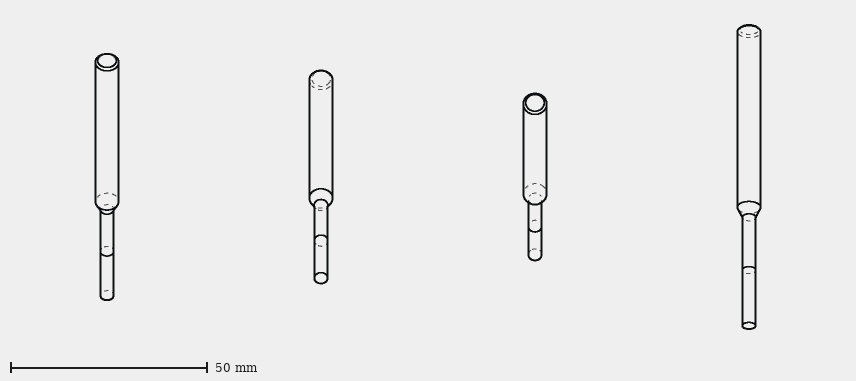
import cadquery as cq

total_length = 87.6
shank_diameter = 6.0
neck_diameter = 3.4
shank_chamfer = 0.6
shank_bottom = 35.4
taper_bottom = 32.5
joint_height = 17.0
point_height = 0.6

shank_radius = shank_diameter / 2
neck_radius = neck_diameter / 2


def make_holder():
    """Shank with a chamfered top, a conical taper and a slim neck."""
    profile = [
        (0, joint_height),
        (neck_radius, joint_height),
        (neck_radius, taper_bottom),
        (shank_radius, shank_bottom),
        (shank_radius, total_length - shank_chamfer),
        (shank_radius - shank_chamfer, total_length),
        (0, total_length),
    ]
    return cq.Workplane("XZ").polyline(profile).close().revolve(360, (0, 0, 0), (0, 1, 0))


def make_cutting_tip():
    """Cylinder of the neck's diameter ending in a shallow conical point."""
    profile = [
        (0, 0),
        (neck_radius, point_height),
        (neck_radius, joint_height),
        (0, joint_height),
    ]
    return cq.Workplane("XZ").polyline(profile).close().revolve(360, (0, 0, 0), (0, 1, 0))


holder = make_holder()
cutting_tip = make_cutting_tip()

result = cq.Compound.makeCompound([holder.val(), cutting_tip.val()])